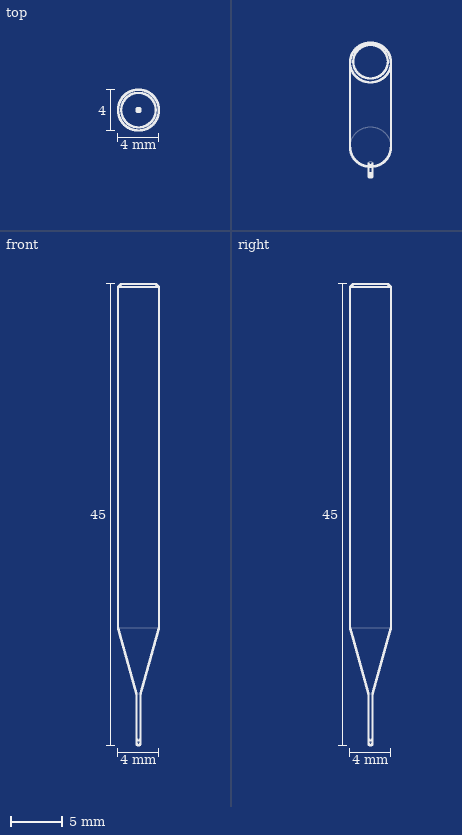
import cadquery as cq

total_length = 45.0
shank_radius = 4.0 / 2
shank_start = 11.45
top_chamfer = 0.3

neck_radius = 0.202
neck_top = 5.0
neck_bottom = 0.65
joint_radius = 0.158

cutter_radius = neck_radius
cutter_length = 0.45


def turn(profile):
    """Revolve a closed half profile a full turn about Z."""
    return profile.revolve(360, (0, 0, 0), (0, 1, 0))


def make_holder():
    """Chamfered shank, taper and slender neck, ending on top of the cutter."""
    profile = (
        cq.Workplane("XZ")
        .moveTo(0, cutter_length)
        .lineTo(joint_radius, cutter_length)
        .lineTo(neck_radius, neck_bottom)
        .lineTo(neck_radius, neck_top)
        .lineTo(shank_radius, shank_start)
        .lineTo(shank_radius, total_length - top_chamfer)
        .lineTo(shank_radius - top_chamfer, total_length)
        .lineTo(0, total_length)
        .close()
    )
    return turn(profile)


def make_cutter():
    """Short cylinder with a hemispherical lower end and a flat top."""
    profile = (
        cq.Workplane("XZ")
        .moveTo(0, 0)
        .radiusArc((cutter_radius, cutter_radius), -cutter_radius)
        .lineTo(cutter_radius, cutter_length)
        .lineTo(0, cutter_length)
        .close()
    )
    return turn(profile)


holder = make_holder()
cutter = make_cutter()

result = cq.Compound.makeCompound([holder.val(), cutter.val()])